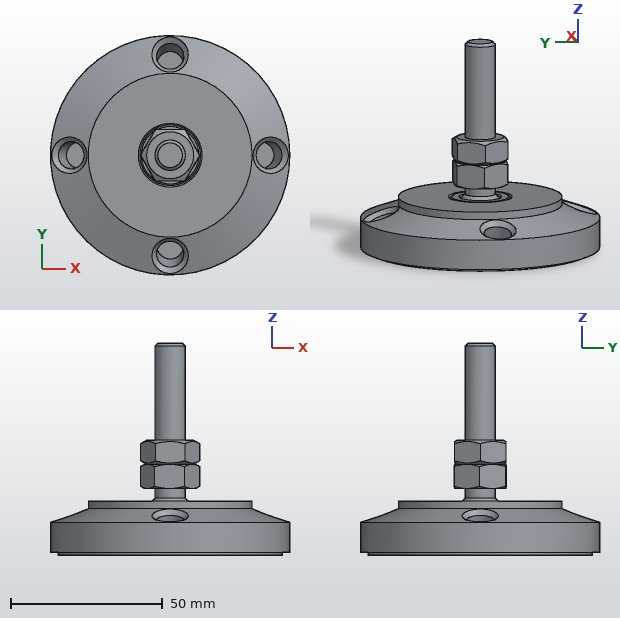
import cadquery as cq
import math

base_diameter = 79
base_bottom = 1.0
rim_top = 10.9
cone_top = 15.4
base_top = 17.9
boss_diameter = 54.0
cone_slope = math.atan2(cone_top - rim_top, (base_diameter - boss_diameter) / 2)

pad_diameter = 74.0
pad_recess_diameter = 75.0
pad_top = 2.8

hole_count = 4
hole_radius_position = 33.2
hole_diameter = 9.0
countersink_diameter = 12.3
countersink_depth = (countersink_diameter - hole_diameter) / 2
tool_clearance = 3.95
tool_length = 23.7

seat_diameter = 20.0
seat_bore = 12.95
edge_chamfer = 0.51

stem_diameter = 10.0
stem_top = 70.0
stem_tip_chamfer = 0.95
flare_bottom = base_top - edge_chamfer
flare_top = flare_bottom + (seat_bore - stem_diameter) / 2

across_flats = 17.0
hex_height = 8.0
hex_bottom = 22.05
nut_bottom = hex_bottom + hex_height
hex_chamfer_diameter = 17.0
nut_chamfer_diameter = 15.5
chamfer_angle = math.radians(30)
stem_hex_turn = -1.5


def disc(diameter, bottom, top):
    """Upright cylinder on the Z axis."""
    return cq.Workplane("XY").workplane(offset=bottom).circle(diameter / 2).extrude(top - bottom)


def hexagon(bottom, chamfer_diameter):
    """Hexagon with corners on the X axis and both ends turned to a 30 degree cone."""
    corner_diameter = across_flats / math.cos(math.pi / 6)
    top = bottom + hex_height
    prism = (
        cq.Workplane("XY").workplane(offset=bottom)
        .polygon(6, corner_diameter)
        .extrude(hex_height)
    )
    end_radius = chamfer_diameter / 2
    corner_radius = corner_diameter / 2
    chamfer_height = (corner_radius - end_radius) * math.tan(chamfer_angle)
    envelope = (
        cq.Workplane("XZ")
        .polyline([
            (0, bottom),
            (end_radius, bottom),
            (corner_radius, bottom + chamfer_height),
            (corner_radius, top - chamfer_height),
            (end_radius, top),
            (0, top),
        ])
        .close()
        .revolve(360, (0, 0), (0, 1))
    )
    return prism.intersect(envelope)


def mounting_hole_cutter():
    """Countersunk hole cutter on the +X side, leaning outward at the cone slope."""
    hole_radius = hole_diameter / 2
    mouth_radius = countersink_diameter / 2
    cutter = (
        cq.Workplane("XZ")
        .polyline([
            (0, -tool_length),
            (hole_radius, -tool_length),
            (hole_radius, -countersink_depth),
            (mouth_radius, 0),
            (mouth_radius, tool_clearance),
            (0, tool_clearance),
        ])
        .close()
        .revolve(360, (0, 0), (0, 1))
    )
    surface_height = rim_top + (base_diameter / 2 - hole_radius_position) * math.tan(cone_slope)
    return (
        cutter.rotate((0, 0, 0), (0, 1, 0), math.degrees(cone_slope))
        .translate((hole_radius_position, 0, surface_height))
    )


def make_base():
    base = (
        cq.Workplane("XZ")
        .polyline([
            (0, base_bottom),
            (base_diameter / 2, base_bottom),
            (base_diameter / 2, rim_top),
            (boss_diameter / 2, cone_top),
            (boss_diameter / 2, base_top),
            (0, base_top),
        ])
        .close()
        .revolve(360, (0, 0), (0, 1))
    )
    base = base.cut(disc(pad_recess_diameter, base_bottom, pad_top))
    base = base.cut(disc(seat_diameter, pad_top, base_top))
    inner_edge = cq.selectors.RadiusNthSelector(0)
    base = base.faces(">Z").edges(inner_edge).chamfer(edge_chamfer)
    cutter = mounting_hole_cutter()
    for index in range(hole_count):
        base = base.cut(cutter.rotate((0, 0, 0), (0, 0, 1), index * 360 / hole_count))
    return base


def make_pad():
    return disc(pad_diameter, 0, pad_top)


def make_seat():
    seat = disc(seat_diameter, pad_top, base_top).cut(disc(seat_bore, pad_top, base_top))
    return seat.faces(">Z").edges().chamfer(edge_chamfer)


def make_stem():
    shaft = disc(stem_diameter, flare_top, stem_top).faces(">Z").chamfer(stem_tip_chamfer)
    foot = disc(seat_bore, pad_top, flare_top).faces(">Z").chamfer(flare_top - flare_bottom)
    fixed_hex = hexagon(hex_bottom, hex_chamfer_diameter).rotate((0, 0, 0), (0, 0, 1), stem_hex_turn)
    return shaft.union(foot).union(fixed_hex)


def make_locknut():
    bore = disc(stem_diameter, nut_bottom, nut_bottom + hex_height)
    return hexagon(nut_bottom, nut_chamfer_diameter).cut(bore)


base = make_base()
pad = make_pad()
seat = make_seat()
stem = make_stem()
locknut = make_locknut()

result = cq.Compound.makeCompound([base.val(), pad.val(), seat.val(), stem.val(), locknut.val()])